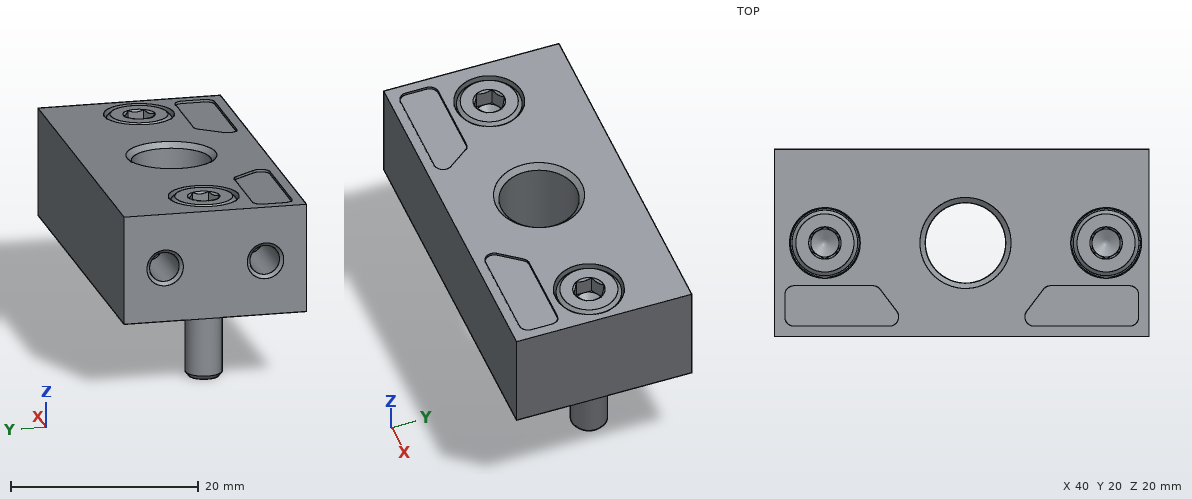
import cadquery as cq
import math

BLOCK_LENGTH = 40.0
BLOCK_WIDTH = 20.0
BLOCK_HEIGHT = 12.0

PATTERN_X = 0.4
SCREW_SPACING = 30.0
SCREW_XS = [PATTERN_X - SCREW_SPACING / 2, PATTERN_X + SCREW_SPACING / 2]

BORE_DIAMETER = 8.55
BORE_RIM_DIAMETER = 9.7

SHANK_DIAMETER = 4.0
HEAD_DIAMETER = 7.0
HEAD_HEIGHT = SHANK_DIAMETER
HEAD_CHAMFER = 0.4
SCREW_PROTRUSION = 8.0
THREAD_CORE_DIAMETER = 3.25
TIP_CHAMFER_LENGTH = 0.5
TIP_CHAMFER_WIDTH = (SHANK_DIAMETER - THREAD_CORE_DIAMETER) / 2
SOCKET_ACROSS_FLATS = 3.0
SOCKET_ACROSS_CORNERS = SOCKET_ACROSS_FLATS / math.cos(math.pi / 6)
SOCKET_DEPTH = 2.0
HEXAGON_TURN = 30.0
SOCKET_RIM_ANGLE = 90.0
SOCKET_POINT_ANGLE = 120.0
COUNTERBORE_DIAMETER = 7.55
COUNTERBORE_FLOOR_CHAMFER = 0.1

END_HOLE_DIAMETER = THREAD_CORE_DIAMETER
END_HOLE_RIM_DIAMETER = SHANK_DIAMETER
END_HOLE_DEPTH = 8.0
END_HOLE_SPACING = 11.0
END_HOLE_POINT_ANGLE = 120.0

LABEL_OUTER_X = 18.9
LABEL_TOP_INNER_X = 9.0
LABEL_BOTTOM_INNER_X = 5.7
LABEL_BACK_Y = -4.55
LABEL_FRONT_Y = -8.9
LABEL_CORNER_RADIUS = 1.0
LABEL_DEPTH = 0.3


def point_length(diameter, point_angle):
    """Axial length of a conical point with the given full angle."""
    return diameter / 2 / math.tan(math.radians(point_angle / 2))


def cut_bore(body):
    """Cut the through bore and the 45 degree chamfer at its upper rim."""
    rim_depth = (BORE_RIM_DIAMETER - BORE_DIAMETER) / 2
    bore = cq.Workplane().center(PATTERN_X, 0).circle(BORE_DIAMETER / 2).extrude(BLOCK_HEIGHT)
    rim = cq.Solid.makeCone(
        BORE_RIM_DIAMETER / 2,
        BORE_DIAMETER / 2,
        rim_depth,
        pnt=cq.Vector(PATTERN_X, 0, BLOCK_HEIGHT),
        dir=cq.Vector(0, 0, -1),
    )
    return body.cut(bore).cut(cq.Workplane(rim))


def cut_screw_seats(body):
    """Cut a shank hole and a counterbore with a chamfered floor corner for each screw."""
    for x in SCREW_XS:
        shank_hole = cq.Workplane().center(x, 0).circle(SHANK_DIAMETER / 2).extrude(BLOCK_HEIGHT)
        counterbore = (
            cq.Workplane(origin=(x, 0, BLOCK_HEIGHT - HEAD_HEIGHT))
            .circle(COUNTERBORE_DIAMETER / 2)
            .extrude(HEAD_HEIGHT)
            .faces("<Z")
            .chamfer(COUNTERBORE_FLOOR_CHAMFER)
        )
        body = body.cut(shank_hole).cut(counterbore)
    return body


def cut_end_holes(body):
    """Cut the two drilled holes, each with a countersunk rim and a conical bottom."""
    radius = END_HOLE_DIAMETER / 2
    rim_radius = END_HOLE_RIM_DIAMETER / 2
    tip_depth = END_HOLE_DEPTH + point_length(END_HOLE_DIAMETER, END_HOLE_POINT_ANGLE)
    profile = [
        (0, 0),
        (0, rim_radius),
        (rim_radius - radius, radius),
        (END_HOLE_DEPTH, radius),
        (tip_depth, 0),
    ]
    for y in (-END_HOLE_SPACING / 2, END_HOLE_SPACING / 2):
        hole = (
            cq.Workplane(origin=(-BLOCK_LENGTH / 2, y, BLOCK_HEIGHT / 2))
            .polyline(profile)
            .close()
            .revolve(360, (0, 0, 0), (1, 0, 0))
        )
        body = body.cut(hole)
    return body


def cut_labels(body):
    """Cut the two mirrored label recesses."""
    for side in (-1, 1):
        recess = (
            cq.Workplane(origin=(0, 0, BLOCK_HEIGHT - LABEL_DEPTH))
            .moveTo(side * LABEL_OUTER_X, LABEL_FRONT_Y)
            .lineTo(side * LABEL_OUTER_X, LABEL_BACK_Y)
            .lineTo(side * LABEL_TOP_INNER_X, LABEL_BACK_Y)
            .lineTo(side * LABEL_BOTTOM_INNER_X, LABEL_FRONT_Y)
            .close()
            .extrude(LABEL_DEPTH)
            .edges("|Z")
            .fillet(LABEL_CORNER_RADIUS)
        )
        body = body.cut(recess)
    return body


def make_block():
    body = cq.Workplane().box(BLOCK_LENGTH, BLOCK_WIDTH, BLOCK_HEIGHT, centered=(True, True, False))
    body = cut_bore(body)
    body = cut_screw_seats(body)
    body = cut_end_holes(body)
    return cut_labels(body)


def make_socket(x):
    """Hexagonal socket with two flats facing +/-X, a countersunk rim and a conical bottom."""
    hexagon = (
        cq.Workplane(origin=(x, 0, BLOCK_HEIGHT))
        .transformed(rotate=(0, 0, HEXAGON_TURN))
        .polygon(6, SOCKET_ACROSS_CORNERS)
        .extrude(-SOCKET_DEPTH)
    )
    flat_radius = SOCKET_ACROSS_FLATS / 2
    corner_radius = SOCKET_ACROSS_CORNERS / 2
    rim = cq.Solid.makeCone(
        corner_radius,
        0,
        point_length(SOCKET_ACROSS_CORNERS, SOCKET_RIM_ANGLE),
        pnt=cq.Vector(x, 0, BLOCK_HEIGHT),
        dir=cq.Vector(0, 0, -1),
    )
    point = cq.Solid.makeCone(
        flat_radius,
        0,
        point_length(SOCKET_ACROSS_FLATS, SOCKET_POINT_ANGLE),
        pnt=cq.Vector(x, 0, BLOCK_HEIGHT - SOCKET_DEPTH),
        dir=cq.Vector(0, 0, -1),
    )
    return hexagon.union(cq.Workplane(rim)).union(cq.Workplane(point))


def make_screw(x):
    """Socket head screw on a vertical axis at the given X."""
    shank_length = BLOCK_HEIGHT - HEAD_HEIGHT + SCREW_PROTRUSION
    shank = (
        cq.Workplane(origin=(x, 0, -SCREW_PROTRUSION))
        .circle(SHANK_DIAMETER / 2)
        .extrude(shank_length)
        .faces("<Z")
        .chamfer(TIP_CHAMFER_LENGTH, TIP_CHAMFER_WIDTH)
    )
    head = (
        cq.Workplane(origin=(x, 0, BLOCK_HEIGHT - HEAD_HEIGHT))
        .circle(HEAD_DIAMETER / 2)
        .extrude(HEAD_HEIGHT)
        .faces(">Z")
        .chamfer(HEAD_CHAMFER)
    )
    return shank.union(head).cut(make_socket(x))


block = make_block()
screws = [make_screw(x) for x in SCREW_XS]

result = cq.Compound.makeCompound([block.val(), *[screw.val() for screw in screws]])